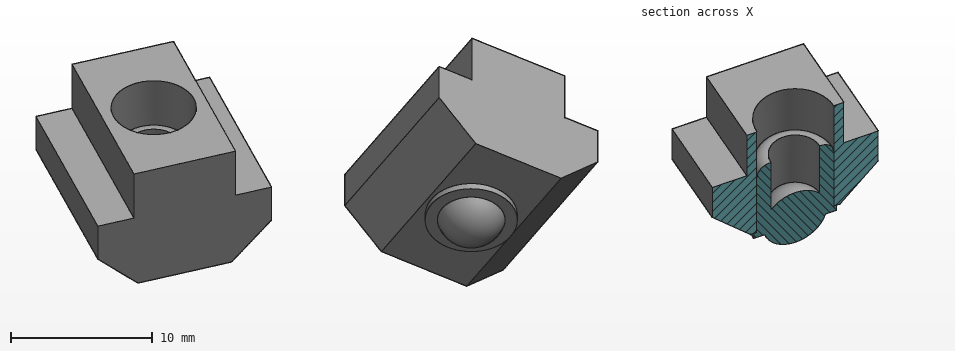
import cadquery as cq

nut_length = 13.0
nut_width = 13.0
nut_height = 10.0
neck_width = 7.6
shoulder_height = 6.0
bevel_size = 3.0

sleeve_diameter = 6.0
sleeve_top = 6.5
sleeve_end_radius = 1.0
sleeve_hole_diameter = 3.8
collar_diameter = 6.5
collar_thickness = 0.5
ball_diameter = 4.98
ball_protrusion = 1.78
ball_center_z = ball_diameter / 2 - collar_thickness - ball_protrusion


def make_nut():
    half_width = nut_width / 2
    half_neck = neck_width / 2
    half_base = half_width - bevel_size
    body = (
        cq.Workplane("YZ")
        .moveTo(-half_base, 0)
        .lineTo(half_base, 0)
        .lineTo(half_width, bevel_size)
        .lineTo(half_width, shoulder_height)
        .lineTo(half_neck, shoulder_height)
        .lineTo(half_neck, nut_height)
        .lineTo(-half_neck, nut_height)
        .lineTo(-half_neck, shoulder_height)
        .lineTo(-half_width, shoulder_height)
        .lineTo(-half_width, bevel_size)
        .close()
        .extrude(nut_length / 2, both=True)
    )
    bore = cq.Workplane("XY").circle(sleeve_diameter / 2).extrude(nut_height)
    return body.cut(bore)


def make_plunger():
    sleeve = (
        cq.Workplane("XY")
        .circle(sleeve_diameter / 2)
        .extrude(sleeve_top)
        .faces(">Z")
        .edges()
        .fillet(sleeve_end_radius)
    )
    collar = cq.Workplane("XY").circle(collar_diameter / 2).extrude(-collar_thickness)
    hole = (
        cq.Workplane("XY", origin=(0, 0, ball_center_z))
        .circle(sleeve_hole_diameter / 2)
        .extrude(sleeve_top - ball_center_z)
    )
    ball = cq.Workplane("XY", origin=(0, 0, ball_center_z)).sphere(ball_diameter / 2)
    return sleeve.union(collar).cut(hole).union(ball)


nut = make_nut().solids()
plunger = make_plunger().solids()

result = cq.Compound.makeCompound([nut.val(), plunger.val()])